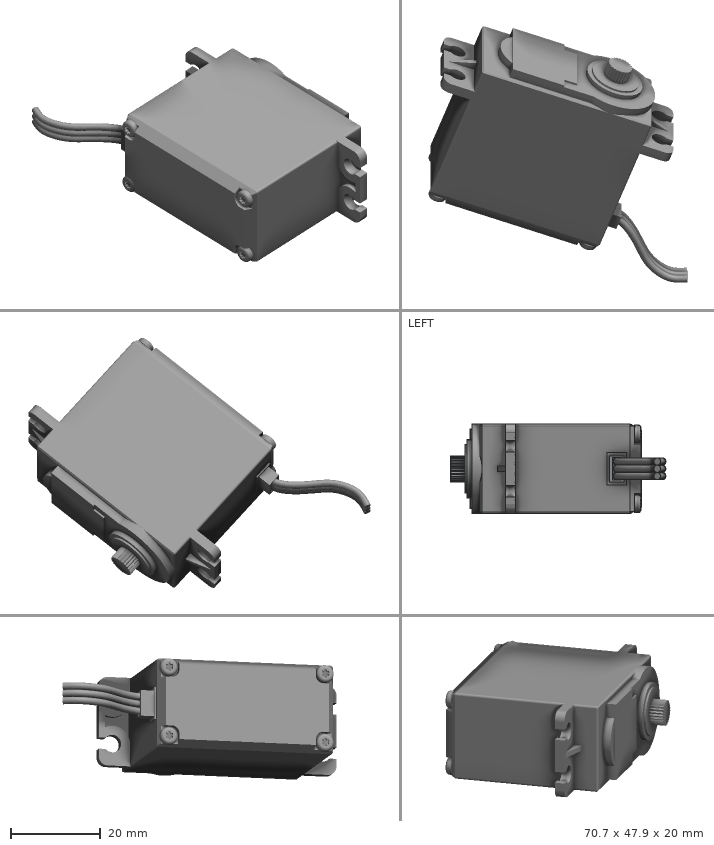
import cadquery as cq
import math


CASE_LENGTH = 40.3
CASE_HEIGHT = 20.0
CASE_FRONT_Y = 35.9
EDGE_ROUNDING = 0.5
FRONT_CHAMFER = 0.35
BEVEL_DEPTH = 2.55
BEVEL_INSET = 1.5

EAR_SPAN = 54.5
EAR_REAR_Y = 28.0
EAR_THICKNESS = 2.25
EAR_CORNER_RADIUS = 2.0
EAR_HOLE_X = 24.1
EAR_HOLE_Z = 5.0
EAR_HOLE_RADIUS = 2.0
EAR_SLOT_WIDTH = 2.55
RIB_WIDTH = 1.2
RIB_RISE = 1.8
RIB_TIP_X = 26.2
RECESS_DEPTH = 1.05
RECESS_END_X = 25.9
RECESS_HOLE_CLEARANCE = 4.0

SHAFT_X = -10.2
BOSS_FRONT_Y = 37.7
BOSS_HALF_WIDTH = 8.85
BOSS_END_X = 13.8
IDLER_RADIUS = 7.0
IDLER_END_X = 16.55
PLATE_FRONT_Y = 38.1
PLATE_START_X = 1.5
TAB_LENGTH = 3.0
TAB_HALF_WIDTH = 6.4
COLLAR_RADIUS = 6.5
COLLAR_FRONT_Y = 38.85
BEARING_RADIUS = 5.45
BEARING_FRONT_Y = 39.3

SHAFT_END_Y = 42.45
SPLINE_TEETH = 25
SPLINE_TIP_RADIUS = 2.9
SPLINE_ROOT_RADIUS = 2.6

SCREW_X = 17.9
SCREW_Z = 7.8
SEAT_Y = 1.5
SEAT_REACH = 2.25
SEAT_CORNER_RADIUS = 1.7
HEAD_RADIUS = 2.0
HEAD_HEIGHT = 1.4
HEAD_ROUNDING = 0.7
SOCKET_DEPTH = 0.7
SOCKET_CORE_RADIUS = 0.65
SOCKET_LOBES = 6
SOCKET_LOBE_RADIUS = 0.3

GROMMET_Y = 5.45
FLANGE_THICKNESS = 0.35
FLANGE_DEPTH = 4.3
FLANGE_HEIGHT = 7.15
BLOCK_LENGTH = 3.05
BLOCK_DEPTH = 3.25
BLOCK_HEIGHT = 5.8
WIRE_SLOT_DEPTH = 1.05
WIRE_SLOT_WIDTH = 2.0
WIRE_SLOT_HEIGHT = 4.95

WIRE_COUNT = 3
WIRE_DIAMETER = 1.6
WIRE_END_ANGLE = 25
WIRE_COURSE = [
    (-25.5, 4.5),
    (-30.55, 0.15),
    (-33.95, -2.9),
    (-38.55, -4.6),
    (-43.15, -3.55),
]

HALF_LENGTH = CASE_LENGTH / 2
EAR_FRONT_Y = EAR_REAR_Y + EAR_THICKNESS
BLOCK_END_X = -HALF_LENGTH - FLANGE_THICKNESS - BLOCK_LENGTH
WIRE_START_X = BLOCK_END_X + WIRE_SLOT_DEPTH


def face_plane(y):
    """Sketch plane at depth y: local x is X, local y is Z, and negative extrusion runs along +Y."""
    return cq.Workplane(cq.Plane(origin=(0, y, 0), xDir=(1, 0, 0), normal=(0, -1, 0)))


def disc(x, z, radius, y_from, y_to):
    return face_plane(y_from).center(x, z).circle(radius).extrude(y_from - y_to)


def block(x_from, x_to, y_from, y_to, height):
    """Box between two X and two Y positions, centred on Z = 0."""
    return cq.Workplane("XY").box(
        x_to - x_from, y_to - y_from, height, centered=(False, False, True)
    ).translate((x_from, y_from, 0))


def case_shell():
    """Round-edged box with a chamfered front and its rear edges cut back to a long bevel."""
    shell = (
        block(-HALF_LENGTH, HALF_LENGTH, BEVEL_DEPTH, CASE_FRONT_Y, CASE_HEIGHT)
        .edges("|Y")
        .fillet(EDGE_ROUNDING)
        .faces(">Y")
        .edges()
        .chamfer(FRONT_CHAMFER)
    )
    bevel_angle = math.degrees(math.atan2(BEVEL_INSET, BEVEL_DEPTH))
    rear = (
        shell.faces("<Y").wires().toPending().workplane(origin=(0, BEVEL_DEPTH, 0))
        .extrude(BEVEL_DEPTH, taper=bevel_angle, combine=False)
    )
    return shell.union(rear)


def ear_recess():
    """Flat pocket in the rear of the +X ear, from the case outwards and clear of both hole rims."""
    pocket = block(HALF_LENGTH, RECESS_END_X, EAR_REAR_Y, EAR_REAR_Y + RECESS_DEPTH, 2 * EAR_HOLE_Z)
    for z in (-EAR_HOLE_Z, EAR_HOLE_Z):
        pocket = pocket.cut(disc(EAR_HOLE_X, z, RECESS_HOLE_CLEARANCE, EAR_REAR_Y, EAR_FRONT_Y))
    return pocket


def right_ear():
    """Mounting ear on the +X side with two open holes, a tapered rib and a rear recess."""
    ear = (
        block(HALF_LENGTH - EDGE_ROUNDING, EAR_SPAN / 2, EAR_REAR_Y, EAR_FRONT_Y, CASE_HEIGHT)
        .edges("|Y and >X")
        .fillet(EAR_CORNER_RADIUS)
    )
    slot = block(EAR_HOLE_X, EAR_SPAN / 2, EAR_REAR_Y, EAR_FRONT_Y, EAR_SLOT_WIDTH)
    for z in (-EAR_HOLE_Z, EAR_HOLE_Z):
        ear = ear.cut(disc(EAR_HOLE_X, z, EAR_HOLE_RADIUS, EAR_REAR_Y, EAR_FRONT_Y))
        ear = ear.cut(slot.translate((0, 0, z)))
    rib = (
        cq.Workplane("XY")
        .moveTo(HALF_LENGTH, EAR_FRONT_Y)
        .lineTo(RIB_TIP_X, EAR_FRONT_Y)
        .lineTo(HALF_LENGTH, EAR_FRONT_Y + RIB_RISE)
        .close()
        .extrude(RIB_WIDTH / 2, both=True)
    )
    return ear.cut(ear_recess()).union(rib)


def front_boss():
    """Round gear boss, straight tail with round idler end, tabbed cover plate and two collars."""
    boss = disc(SHAFT_X, 0, CASE_HEIGHT / 2, CASE_FRONT_Y - FRONT_CHAMFER, BOSS_FRONT_Y)
    tail = block(SHAFT_X, BOSS_END_X, CASE_FRONT_Y, BOSS_FRONT_Y, 2 * BOSS_HALF_WIDTH)
    idler = disc(IDLER_END_X - IDLER_RADIUS, 0, IDLER_RADIUS, CASE_FRONT_Y, BOSS_FRONT_Y)
    plate = block(PLATE_START_X, BOSS_END_X, BOSS_FRONT_Y, PLATE_FRONT_Y, 2 * BOSS_HALF_WIDTH)
    tab_start_x = PLATE_START_X - TAB_LENGTH
    tab = block(tab_start_x, PLATE_START_X, BOSS_FRONT_Y, PLATE_FRONT_Y, 2 * TAB_HALF_WIDTH)
    collar = disc(SHAFT_X, 0, COLLAR_RADIUS, BOSS_FRONT_Y, COLLAR_FRONT_Y)
    bearing = disc(SHAFT_X, 0, BEARING_RADIUS, COLLAR_FRONT_Y, BEARING_FRONT_Y)
    boss = boss.union(tail).union(idler).union(plate).union(tab)
    return boss.union(collar).union(bearing)


def screw_seat():
    """Flat-floored corner cut for the +X +Z screw, open to the outside and rounded inwards."""
    size = HALF_LENGTH - SCREW_X + SEAT_REACH
    return (
        cq.Workplane("XY")
        .box(size, SEAT_Y, size, centered=False)
        .edges("|Y and <X and <Z")
        .fillet(SEAT_CORNER_RADIUS)
        .translate((SCREW_X - SEAT_REACH, 0, SCREW_Z - SEAT_REACH))
    )


def make_case():
    case = case_shell().union(front_boss())
    ear = right_ear()
    case = case.union(ear).union(ear.mirror("YZ"))
    right_seats = screw_seat().union(screw_seat().mirror("XY"))
    return case.cut(right_seats).cut(right_seats.mirror("YZ"))


def make_shaft():
    """Splined shaft with pointed teeth, standing on the bearing collar."""
    points = []
    for i in range(2 * SPLINE_TEETH):
        radius = SPLINE_TIP_RADIUS if i % 2 == 0 else SPLINE_ROOT_RADIUS
        angle = math.pi * i / SPLINE_TEETH
        points.append((radius * math.cos(angle), radius * math.sin(angle)))
    return (
        face_plane(BEARING_FRONT_Y)
        .center(SHAFT_X, 0)
        .polyline(points)
        .close()
        .extrude(BEARING_FRONT_Y - SHAFT_END_Y)
    )


def make_screw(x, z):
    """Rounded screw head with a six-lobed socket, resting on its seat."""
    rear_y = SEAT_Y - HEAD_HEIGHT
    socket_floor_y = rear_y + SOCKET_DEPTH
    head = disc(0, 0, HEAD_RADIUS, rear_y, SEAT_Y).faces("<Y").edges().fillet(HEAD_ROUNDING)
    head = head.cut(disc(0, 0, SOCKET_CORE_RADIUS, rear_y, socket_floor_y))
    lobes = (
        face_plane(rear_y)
        .polarArray(SOCKET_CORE_RADIUS, 180 / SOCKET_LOBES, 360, SOCKET_LOBES)
        .circle(SOCKET_LOBE_RADIUS)
        .extrude(-SOCKET_DEPTH)
    )
    return head.cut(lobes).translate((x, 0, z))


def make_grommet():
    """Flanged cable block on the -X side with a shallow slot where the wires enter."""
    def plate(x_from, x_to, depth, height):
        return block(x_from, x_to, GROMMET_Y - depth / 2, GROMMET_Y + depth / 2, height)

    flange = plate(-HALF_LENGTH - FLANGE_THICKNESS, -HALF_LENGTH, FLANGE_DEPTH, FLANGE_HEIGHT)
    body = plate(BLOCK_END_X, -HALF_LENGTH, BLOCK_DEPTH, BLOCK_HEIGHT)
    slot = plate(BLOCK_END_X, WIRE_START_X, WIRE_SLOT_WIDTH, WIRE_SLOT_HEIGHT)
    return flange.union(body).cut(slot)


def make_wire(z):
    """Round wire that leaves the grommet along -X and sags in an S-curve."""
    end_angle = math.radians(WIRE_END_ANGLE)
    end_direction = (-math.cos(end_angle), math.sin(end_angle))
    path = cq.Workplane("XY", origin=(0, 0, z)).spline(
        [(WIRE_START_X, GROMMET_Y), *WIRE_COURSE], tangents=[(-1, 0), end_direction]
    )
    return (
        cq.Workplane("YZ", origin=(WIRE_START_X, GROMMET_Y, z))
        .circle(WIRE_DIAMETER / 2)
        .sweep(path)
    )


case = make_case()
shaft = make_shaft()
screws = [
    make_screw(x, z)
    for x in (-SCREW_X, SCREW_X)
    for z in (-SCREW_Z, SCREW_Z)
]
grommet = make_grommet()
wires = [
    make_wire((i - (WIRE_COUNT - 1) / 2) * WIRE_DIAMETER)
    for i in range(WIRE_COUNT)
]

bodies = [case, shaft, grommet, *screws, *wires]
result = cq.Compound.makeCompound([body.val() for body in bodies])